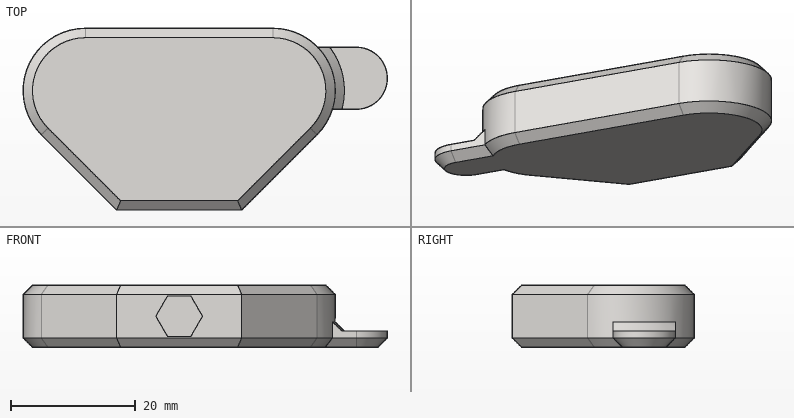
import cadquery as cq
import math

body_width = 50.0
height = 10.0
shoulder_radius = body_width / 5
shoulder_x = body_width / 2 - shoulder_radius
front_half_width = shoulder_radius
edge_chamfer = 1.5

overall_length = 58.35
tab_width = 10.0
tab_thickness = 2.6
tab_radius = tab_width / 2
tab_y = 2.0
tab_end_x = overall_length - body_width / 2 - tab_radius
ramp_size = 1.45

socket_across_corners = 7.45
socket_depth = 15.0

diagonal = shoulder_radius * math.sqrt(0.5)
tangent_x = shoulder_x + diagonal
front_y = -diagonal - (tangent_x - front_half_width)


def make_body():
    outline = (
        cq.Workplane("XY")
        .moveTo(-shoulder_x, shoulder_radius)
        .lineTo(shoulder_x, shoulder_radius)
        .threePointArc((shoulder_x + shoulder_radius, 0), (tangent_x, -diagonal))
        .lineTo(front_half_width, front_y)
        .lineTo(-front_half_width, front_y)
        .lineTo(-tangent_x, -diagonal)
        .threePointArc((-shoulder_x - shoulder_radius, 0), (-shoulder_x, shoulder_radius))
        .close()
    )
    return outline.extrude(height).faces("<Z or >Z").edges().chamfer(edge_chamfer)


def tab_blank(thickness):
    """Tongue starting at the right shoulder centre and ending in a half circle."""
    bottom_y = tab_y - tab_radius
    top_y = tab_y + tab_radius
    return (
        cq.Workplane("XY")
        .moveTo(shoulder_x, bottom_y)
        .lineTo(tab_end_x, bottom_y)
        .threePointArc((tab_end_x + tab_radius, tab_y), (tab_end_x, top_y))
        .lineTo(shoulder_x, top_y)
        .close()
        .extrude(thickness)
    )


def make_tab():
    outer_edges = tab_blank(tab_thickness).faces("<Z").edges("not <X")
    return outer_edges.chamfer(edge_chamfer)


def make_ramp():
    """Conical ramp around the shoulder, kept only where it stands on the tab."""
    cone = cq.Solid.makeCone(
        shoulder_radius + ramp_size,
        shoulder_radius,
        ramp_size,
        pnt=cq.Vector(shoulder_x, 0, tab_thickness),
    )
    return tab_blank(height).intersect(cq.Workplane(cone))


def make_socket():
    return (
        cq.Workplane("XZ", origin=(0, front_y, height / 2))
        .polygon(6, socket_across_corners)
        .extrude(-socket_depth)
    )


result = make_body().union(make_tab()).union(make_ramp()).cut(make_socket())